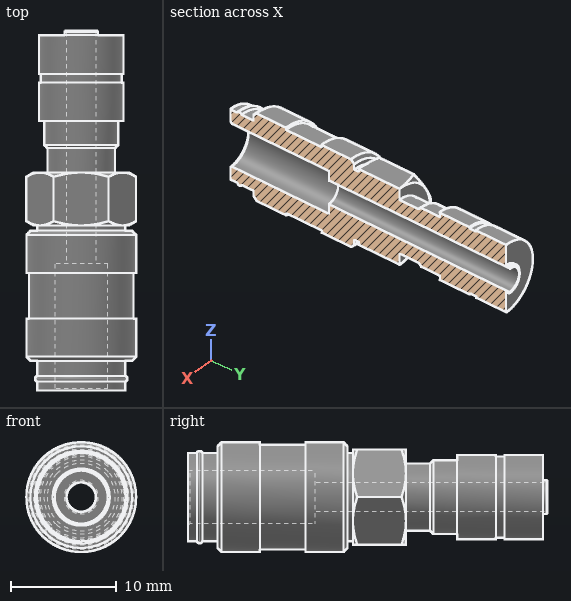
import cadquery as cq
import math


LENGTH = 34.0
SLEEVE_START = 2.8
SLEEVE_RECESS_START = 6.8
SLEEVE_RECESS_END = 11.1
SLEEVE_END = 15.1
HEX_START = 15.6
HEX_LENGTH = 5.0
HEX_END = HEX_START + HEX_LENGTH
SHOULDER_START = 22.9
CAP_START = 25.45
CAP_GROOVE_START = 29.1
CAP_GROOVE_END = 29.9
CAP_END = 33.57

COLLAR_DIAMETER = 8.35
SLEEVE_DIAMETER = 10.4
SLEEVE_RECESS_DIAMETER = 9.9
NECK_DIAMETER = 6.4
SHOULDER_DIAMETER = 7.0
CAP_DIAMETER = 8.0
CAP_GROOVE_DIAMETER = 7.7
STUB_DIAMETER = 3.2
THROUGH_HOLE_DIAMETER = 2.75
SOCKET_DIAMETER = 5.0

HEX_ACROSS_FLATS = 9.0
HEX_SIDES = 6
HEX_CHAMFER_ANGLE = 30.0

RING_CENTER = 1.12
RING_WIRE_DIAMETER = 0.56
RING_OUTER_DIAMETER = 8.75

SLEEVE_CHAMFER = 0.4
SHOULDER_CHAMFER = (SHOULDER_DIAMETER - NECK_DIAMETER) / 2
STUB_CHAMFER = 0.12
SOCKET_CHAMFER = 0.2
SOCKET_DEPTH = 12.0


def cylinder(diameter, start, end):
    """Solid cylinder on the Y axis between two stations."""
    base = cq.Workplane("XZ", origin=(0, start, 0))
    return base.circle(diameter / 2).extrude(start - end)


def make_sleeve():
    """Sleeve with chamfered ends and a shallow recess between two bands."""
    sleeve = cylinder(SLEEVE_DIAMETER, SLEEVE_START, SLEEVE_END).edges("%CIRCLE").chamfer(SLEEVE_CHAMFER)
    recess = cylinder(SLEEVE_DIAMETER, SLEEVE_RECESS_START, SLEEVE_RECESS_END)
    core = cylinder(SLEEVE_RECESS_DIAMETER, SLEEVE_RECESS_START, SLEEVE_RECESS_END)
    return sleeve.cut(recess).union(core)


def make_ring():
    """Round-wire ring standing slightly proud of the front collar."""
    wire_radius = RING_WIRE_DIAMETER / 2
    wire_center = RING_OUTER_DIAMETER / 2 - wire_radius
    section = cq.Workplane("XY").center(wire_center, RING_CENTER).circle(wire_radius)
    return section.revolve(360, (-wire_center, 0), (-wire_center, 1))


def make_hex():
    """Hexagon with corners on the X axis, its ends trimmed by cones."""
    corner_diameter = HEX_ACROSS_FLATS / math.cos(math.pi / HEX_SIDES)
    corner_radius = corner_diameter / 2
    flat_radius = HEX_ACROSS_FLATS / 2
    cone_length = (corner_radius - flat_radius) * math.tan(math.radians(HEX_CHAMFER_ANGLE))
    base = cq.Workplane("XZ", origin=(0, HEX_START, 0))
    prism = base.polygon(HEX_SIDES, corner_diameter).extrude(-HEX_LENGTH)
    envelope = (
        cq.Workplane("XY")
        .moveTo(0, HEX_START)
        .lineTo(flat_radius, HEX_START)
        .lineTo(corner_radius, HEX_START + cone_length)
        .lineTo(corner_radius, HEX_END - cone_length)
        .lineTo(flat_radius, HEX_END)
        .lineTo(0, HEX_END)
        .close()
        .revolve(360, (0, 0), (0, 1))
    )
    return prism.intersect(envelope)


def make_tail():
    """Neck, chamfered shoulder, grooved cap and the stub at the rear end."""
    neck = cylinder(NECK_DIAMETER, HEX_END, SHOULDER_START)
    shoulder = cylinder(SHOULDER_DIAMETER, SHOULDER_START, CAP_START).faces("<Y").chamfer(SHOULDER_CHAMFER)
    front_band = cylinder(CAP_DIAMETER, CAP_START, CAP_GROOVE_START)
    groove_core = cylinder(CAP_GROOVE_DIAMETER, CAP_GROOVE_START, CAP_GROOVE_END)
    rear_band = cylinder(CAP_DIAMETER, CAP_GROOVE_END, CAP_END)
    stub = cylinder(STUB_DIAMETER, CAP_END, LENGTH).faces(">Y").chamfer(STUB_CHAMFER)
    return neck.union(shoulder).union(front_band).union(groove_core).union(rear_band).union(stub)


def make_bore():
    """Stepped bore: chamfered socket at the front, small hole right through."""
    socket = cylinder(SOCKET_DIAMETER, 0, SOCKET_DEPTH)
    socket_radius = SOCKET_DIAMETER / 2
    mouth_radius = socket_radius + SOCKET_CHAMFER
    front_center = cq.Vector(0, 0, 0)
    axis = cq.Vector(0, 1, 0)
    mouth = cq.Solid.makeCone(mouth_radius, socket_radius, SOCKET_CHAMFER, front_center, axis)
    return socket.union(cq.Workplane(mouth)).union(cylinder(THROUGH_HOLE_DIAMETER, 0, LENGTH))


collar = cylinder(COLLAR_DIAMETER, 0, HEX_START)
body = collar.union(make_ring()).union(make_sleeve()).union(make_hex()).union(make_tail())
result = body.cut(make_bore())